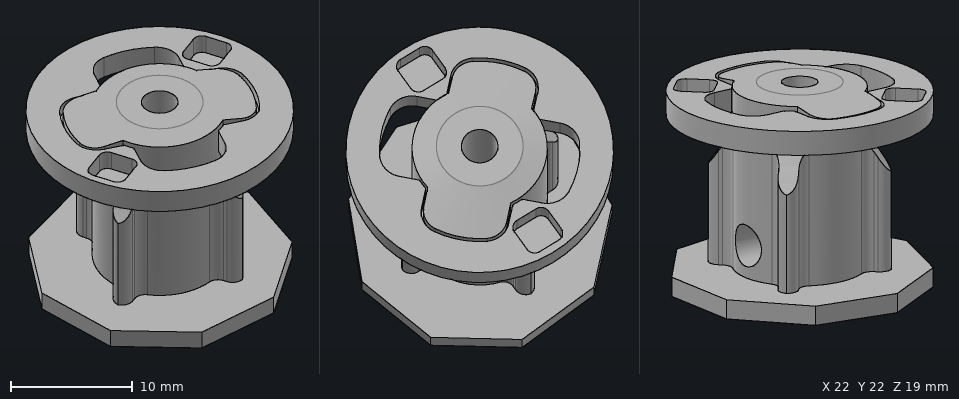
import cadquery as cq
import math

plate_bottom = 1.5
plate_top = 3.17
rib_top = 14.65
disc_bottom = 16.21
disc_top = 18.28
total_height = 19.0

shaft_radius = 11.1 / 2
bore_diameter = 3.0
journal_diameter = 6.2
plate_diameter = 22
plate_sides = 9
side_hole_diameter = 3.56
side_hole_height = 5.95

rib_count = 4
rib_first_angle = 45
rib_half_width = 0.84
rib_arc_radius = 1.0
rib_flank_end = 6.62
rib_bevel_height = 3.0

crown_flat_radius = 3.56
crown_angle = 10
lobe_reach = 7.95
lobe_half_width = 3.48
lobe_corner_radius = 1.8

disc_diameter = 22
disc_hole_radius = 5.63
slot_reach = 8.23
slot_half_width = 3.65
slot_corner_radius = 2.0
key_pocket_depth = 1.0
square_pocket_side = 3.37
square_pocket_corner = 0.75
square_pocket_depth = 1.72
square_pocket_offset = 6.12
square_pocket_turn = 45

key_pocket_floor = disc_top - key_pocket_depth
square_pocket_floor = disc_top - square_pocket_depth


def cylinder(radius, bottom, top):
    return cq.Workplane("XY").workplane(offset=bottom).circle(radius).extrude(top - bottom)


def double_lobe(reach, half_width, corner_radius, bottom, top):
    """Bar along Y with ends rounded about the Z axis and filleted corners."""
    bar = (
        cq.Workplane("XY")
        .workplane(offset=bottom)
        .rect(2 * half_width, 2 * disc_diameter)
        .extrude(top - bottom)
    )
    return bar.intersect(cylinder(reach, bottom, top)).edges("|Z").fillet(corner_radius)


def crown_envelope():
    """Solid of revolution whose upper side is the crown flat and its cone."""
    cone_drop = (lobe_reach - crown_flat_radius) * math.tan(math.radians(crown_angle))
    return (
        cq.Workplane("XZ")
        .moveTo(0, 0)
        .lineTo(lobe_reach, 0)
        .lineTo(lobe_reach, total_height - cone_drop)
        .lineTo(crown_flat_radius, total_height)
        .lineTo(0, total_height)
        .close()
        .revolve(360, (0, 0), (0, 1))
    )


def rib_profile():
    """Rib outline along +X, and its ridge radius: root fillets, flanks, arcs meeting in a ridge."""
    root_center_y = rib_half_width + rib_arc_radius
    root_angle = math.asin(root_center_y / (shaft_radius + rib_arc_radius))
    flank_start = (shaft_radius + rib_arc_radius) * math.cos(root_angle)
    root = (shaft_radius * math.cos(root_angle), shaft_radius * math.sin(root_angle))
    root_mid_angle = (root_angle + math.pi + 1.5 * math.pi) / 2
    root_mid = (
        flank_start + rib_arc_radius * math.cos(root_mid_angle),
        root_center_y + rib_arc_radius * math.sin(root_mid_angle),
    )

    tip_center_y = rib_half_width - rib_arc_radius
    ridge_angle = math.asin(-tip_center_y / rib_arc_radius)
    ridge_radius = rib_flank_end + rib_arc_radius * math.cos(ridge_angle)
    tip_mid_angle = (ridge_angle + math.pi / 2) / 2
    tip_mid = (
        rib_flank_end + rib_arc_radius * math.cos(tip_mid_angle),
        tip_center_y + rib_arc_radius * math.sin(tip_mid_angle),
    )

    profile = (
        cq.Workplane("XY")
        .workplane(offset=plate_top)
        .moveTo(0, 0)
        .lineTo(*root)
        .threePointArc(root_mid, (flank_start, rib_half_width))
        .lineTo(rib_flank_end, rib_half_width)
        .threePointArc(tip_mid, (ridge_radius, 0))
        .threePointArc((tip_mid[0], -tip_mid[1]), (rib_flank_end, -rib_half_width))
        .lineTo(flank_start, -rib_half_width)
        .threePointArc((root_mid[0], -root_mid[1]), (root[0], -root[1]))
        .close()
    )
    return profile, ridge_radius


def make_rib():
    """Straight rib whose upper end is bevelled by a cone down to the shaft surface."""
    profile, ridge_radius = rib_profile()
    bevel_bottom = rib_top - rib_bevel_height
    bevel = (
        cq.Workplane("XZ")
        .moveTo(0, 0)
        .lineTo(ridge_radius, 0)
        .lineTo(ridge_radius, bevel_bottom)
        .lineTo(shaft_radius, rib_top)
        .lineTo(0, rib_top)
        .close()
        .revolve(360, (0, 0), (0, 1))
    )
    return profile.extrude(rib_top - plate_top).intersect(bevel)


def make_shaft():
    journal = cylinder(journal_diameter / 2, 0, plate_bottom)
    plate = (
        cq.Workplane("XY")
        .workplane(offset=plate_bottom)
        .polygon(plate_sides, plate_diameter)
        .extrude(plate_top - plate_bottom)
    )
    column = cylinder(shaft_radius, plate_top, total_height)
    lobes = double_lobe(lobe_reach, lobe_half_width, lobe_corner_radius, key_pocket_floor, total_height)
    crowned_column = column.union(lobes).intersect(crown_envelope())
    shaft = journal.union(plate).union(crowned_column)

    rib = make_rib()
    for index in range(rib_count):
        angle = rib_first_angle + index * 360 / rib_count
        shaft = shaft.union(rib.rotate((0, 0, 0), (0, 0, 1), angle))

    bore = cylinder(bore_diameter / 2, 0, total_height)
    side_hole = (
        cq.Workplane("YZ")
        .center(0, side_hole_height)
        .circle(side_hole_diameter / 2)
        .extrude(-plate_diameter / 2)
    )
    return shaft.cut(bore).cut(side_hole)


def make_disc():
    disc = cylinder(disc_diameter / 2, disc_bottom, disc_top)
    shaft_hole = cylinder(disc_hole_radius, disc_bottom, disc_top)

    entry_slot = double_lobe(
        slot_reach, slot_half_width, slot_corner_radius, disc_bottom, disc_top
    ).rotate((0, 0, 0), (0, 0, 1), 90)
    key_pocket = double_lobe(slot_reach, slot_half_width, slot_corner_radius, key_pocket_floor, disc_top)
    disc = disc.cut(shaft_hole).cut(entry_slot).cut(key_pocket)

    for side in (-1, 1):
        square_pocket = (
            cq.Workplane("XY")
            .rect(square_pocket_side, square_pocket_side)
            .extrude(square_pocket_depth)
            .edges("|Z")
            .fillet(square_pocket_corner)
            .rotate((0, 0, 0), (0, 0, 1), square_pocket_turn)
            .translate((side * square_pocket_offset, -side * square_pocket_offset, square_pocket_floor))
        )
        disc = disc.cut(square_pocket)
    return disc


shaft = make_shaft()
disc = make_disc()
result = cq.Compound.makeCompound([shaft.val(), disc.val()])